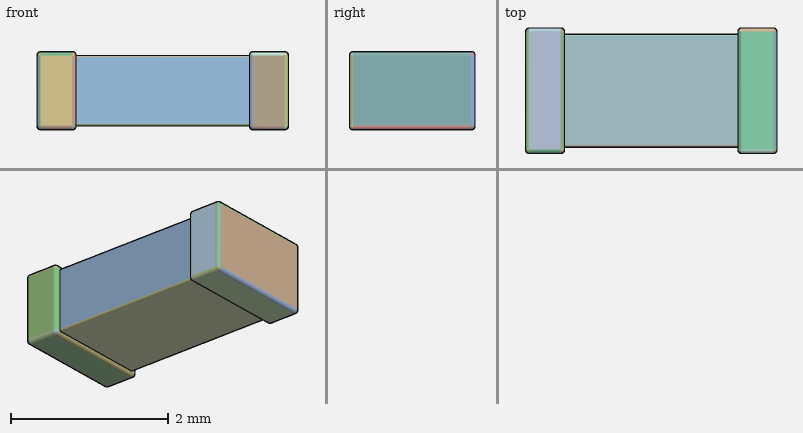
import cadquery as cq

length = 3.2
width = 1.6
height = 1.0

cap_length = 0.5
cap_fillet = 0.05

body_width = 0.9 * width
body_height = 0.9 * height
body_fillet = 0.025


def end_cap(side):
    """Terminal block with every edge rounded; side is -1 or +1 along X."""
    cap_center = side * (length - cap_length) / 2
    return (
        cq.Workplane("XY")
        .box(cap_length, width, height)
        .edges()
        .fillet(cap_fillet)
        .translate((cap_center, 0, 0))
    )


body = (
    cq.Workplane("XY")
    .box(length - cap_length, body_width, body_height)
    .edges("|X")
    .fillet(body_fillet)
)

result = body
for side in (-1, 1):
    result = result.union(end_cap(side))